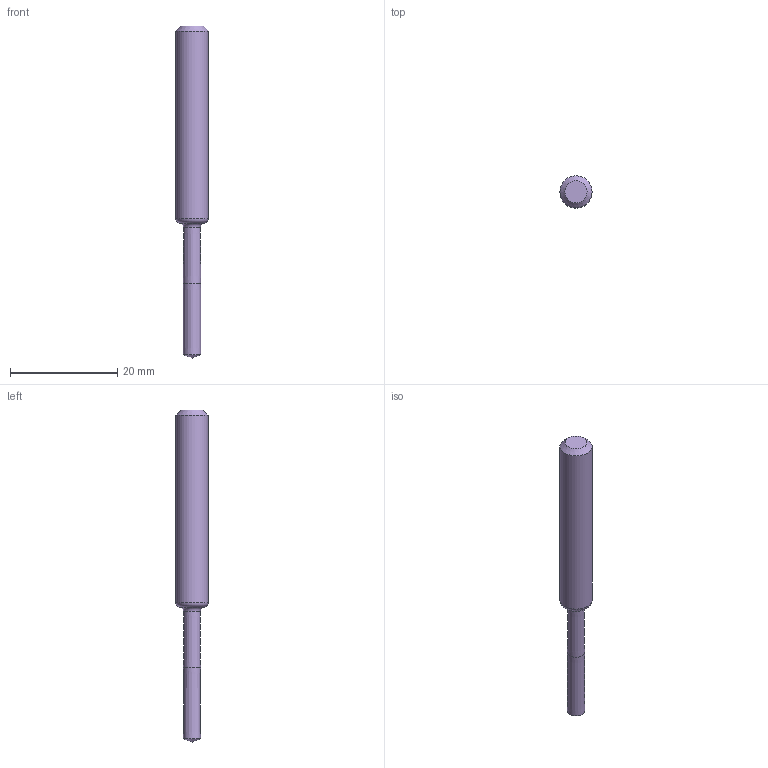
import cadquery as cq
import math

total_length = 62.0
shank_length = 36.0
cutting_length = 14.0

shank_radius = 3.0
neck_top_radius = 1.585
cutting_top_radius = 1.595
cutting_tip_radius = 1.605

point_angle = 140.0
top_chamfer = 0.94
shoulder_height = 1.6

point_height = cutting_tip_radius / math.tan(math.radians(point_angle / 2))
shank_bottom = total_length - shank_length
neck_top = shank_bottom - shoulder_height

shoulder_width = shank_radius - neck_top_radius
shoulder_sweep = 2 * math.atan2(shoulder_width, shoulder_height)
shoulder_arc_radius = shoulder_height / (2 * math.sin(shoulder_sweep))
half_arc_width = shoulder_arc_radius * (1 - math.cos(shoulder_sweep / 2))
half_arc_height = shoulder_arc_radius * math.sin(shoulder_sweep / 2)


def revolve_about_z(profile):
    """Turn a closed half profile in the XZ plane into a solid of revolution about Z."""
    return profile.revolve(360, (0, 0, 0), (0, 1, 0))


def make_holder():
    """Chamfered shank and conical neck, joined by the S-curved shoulder."""
    profile = (
        cq.Workplane("XZ")
        .moveTo(0, cutting_length)
        .lineTo(cutting_top_radius, cutting_length)
        .lineTo(neck_top_radius, neck_top)
        .threePointArc(
            (neck_top_radius + half_arc_width, neck_top + half_arc_height),
            (neck_top_radius + shoulder_width / 2, neck_top + shoulder_height / 2),
        )
        .threePointArc(
            (shank_radius - half_arc_width, shank_bottom - half_arc_height),
            (shank_radius, shank_bottom),
        )
        .lineTo(shank_radius, total_length - top_chamfer)
        .lineTo(shank_radius - top_chamfer, total_length)
        .lineTo(0, total_length)
        .close()
    )
    return revolve_about_z(profile)


def make_cutting_part():
    """Slightly conical drill body with a conical point."""
    profile = (
        cq.Workplane("XZ")
        .lineTo(cutting_tip_radius, point_height)
        .lineTo(cutting_top_radius, cutting_length)
        .lineTo(0, cutting_length)
        .close()
    )
    return revolve_about_z(profile)


holder = make_holder()
cutting_part = make_cutting_part()

result = cq.Compound.makeCompound([holder.val(), cutting_part.val()])